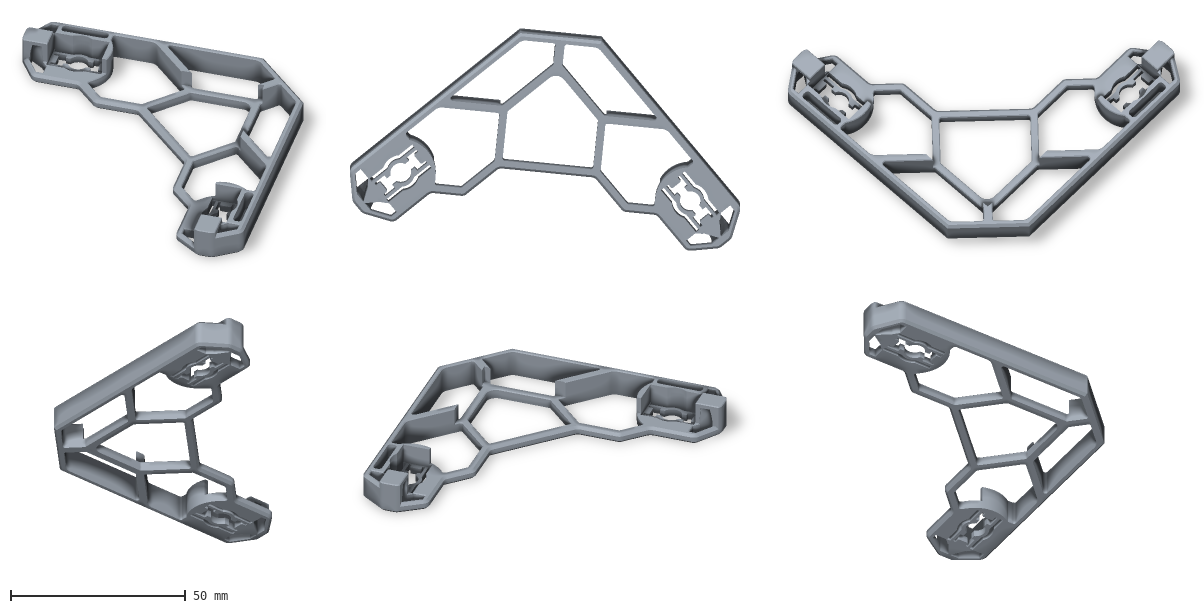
import cadquery as cq
import math

arm_length = 85.0
low_height = 3.0
wall_height = 8.0
block_height = 9.6
edge_chamfer = 0.8
window_chamfer = 0.25

pod_width = 20.1
pod_shoulder = 5.3
nose_half_flat = 2.2
pod_inner_end = 18.95
frame_depth = 26.9
frame_turn = 38.7
corner_cut = 16.6
pod_corner_radius = 2.4
frame_corner_radius = 2.0

wall = 1.9
nose_wall = 1.49
frame_rib = 2.5
lattice_rib = 2.2
corner_rib = 2.6
lattice_outer = 13.2
lattice_inner = lattice_outer + lattice_rib
stub_line = 47.1
spoke_line = 18.45
stub_window_start = 44.2
tall_depth = 12.75
window_radius = 0.7
wide_window_radius = 3.0

centre_across = pod_width / 2
hole_along = 16.1
pod_radius = pod_width / 2
pod_outer_end = 24.2
end_wall_along = 24.1
end_wall_reach = 3.6
block_length = 7.7
block_half_width = 3.15
block_chamfer = 0.25

ring_height = 2.0
trough_half_width = 4.4
trough_bulge = 5.3
ring_half_width = 3.3
ring_bulge = 4.0
slot_start = 8.0
slot_end = 23.9
hole_radius = 3.0
hole_neck_half_width = 1.32
hole_neck_half_length = 4.1
hole_end_half_width = 2.5
hole_half_length = 7.7
tab_width = 3.4
tab_start = 9.8
tab_end = 22.3
tab_radius = 0.4

pocket_start = 9.2
pocket_end = 23.0
pocket_near = 1.6
pocket_far = 4.25
pocket_radius = 1.0
pocket_floor = 2.0

nose_window_end = 7.9
gusset_length = 1.5
gusset_width = 1.6
recess_start = 2.5
recess_end = 6.55
recess_top = 8.25
recess_taper = 0.85
recess_shoulder = 0.3
recess_depth = 2.9

root2 = math.sqrt(2)


def prism(points, height, base=0.0):
    """Upright prism over a closed polygon."""
    return cq.Workplane("XY").workplane(offset=base).polyline(points).close().extrude(height)


def box(x0, x1, y0, y1, z0, z1):
    """Box given by its limits along each axis."""
    return prism([(x0, y0), (x1, y0), (x1, y1), (x0, y1)], z1 - z0, z0)


def cylinder(radius, x, y, z0, z1):
    """Upright cylinder."""
    return cq.Workplane("XY").workplane(offset=z0).center(x, y).circle(radius).extrude(z1 - z0)


def swap(points):
    """Reflect points across the line x = y, reversed to close a symmetric outline."""
    return [(y, x) for x, y in reversed(points)]


def mirrored(body):
    """Copy of a body on the other arm."""
    return body.mirror(cq.Vector(1, -1, 0), (0, 0, 0))


def pod_point(along, across):
    """Position on the -X arm's pod."""
    return (along - arm_length, across - centre_across)


def pod_box(along0, along1, across0, across1, z0, z1):
    """Box on the -X arm's pod."""
    x0, y0 = pod_point(along0, across0)
    x1, y1 = pod_point(along1, across1)
    return box(x0, x1, y0, y1, z0, z1)


def outline(height):
    """Solid outline of the whole part with rounded corners."""
    pod_corners = [
        pod_point(pod_shoulder, centre_across),
        pod_point(0, nose_half_flat),
        pod_point(0, -nose_half_flat),
        pod_point(pod_shoulder, -centre_across),
    ]
    drop = frame_depth - pod_width
    frame_corners = [
        pod_point(pod_inner_end, -centre_across),
        (pod_inner_end + drop - arm_length, -frame_depth),
        (frame_turn - arm_length, -frame_depth),
    ]
    half = [(-corner_cut, 0)] + pod_corners + frame_corners
    body = prism(half + swap(half), height)

    def round_corners(body, corners, radius):
        for point in corners + swap(corners):
            spot = cq.selectors.NearestToPointSelector((*point, height / 2))
            body = body.edges("|Z").edges(spot).fillet(radius)
        return body

    body = round_corners(body, pod_corners, pod_corner_radius)
    return round_corners(body, frame_corners, frame_corner_radius)


def meet(total, difference):
    """Point where x + y = total crosses x - y = difference."""
    return ((total + difference) / 2, (total - difference) / 2)


def window(points, corner):
    """Through cutter for a window; the given corner gets the larger radius."""
    body = prism(points, block_height)
    for point in points:
        radius = wide_window_radius if point == corner else window_radius
        spot = cq.selectors.NearestToPointSelector((*point, block_height / 2))
        body = body.edges("|Z").edges(spot).fillet(radius)
    return body


stub_far = -(stub_line + lattice_rib * root2)
spoke_far = -(spoke_line + lattice_rib * root2)
corner_inner = -(corner_cut + wall * root2)
pod_frame_inner = pod_inner_end - arm_length - pod_width + frame_rib * root2
diagonal_inner = frame_turn - arm_length - frame_depth + frame_rib * root2
frame_inner = -(frame_depth - frame_rib)


def arm_window():
    """Window between the pod, the outer wall, the stub rib and the lattice."""
    pod_x, pod_y = pod_point(hole_along, 0)
    pod_tangent = pod_x - pod_y + pod_radius * root2
    pod_side = pod_outer_end - arm_length
    lean = pod_radius / root2
    stub_root = (stub_far + wall, -wall)
    body = window([
        (pod_side, -wall),
        stub_root,
        meet(stub_far, spoke_far),
        (spoke_far + frame_inner, frame_inner),
        (pod_frame_inner - frame_inner, frame_inner),
        meet(pod_frame_inner, pod_tangent),
        (pod_x + lean, pod_y - lean),
        (pod_side, pod_y),
    ], stub_root)
    return body.cut(cylinder(pod_radius, pod_x, pod_y, 0, block_height))


def corner_window():
    """Window between the outer wall, the corner wall, the corner rib and the stub rib."""
    rib_side = -corner_rib / root2
    wall_turn = (corner_inner + wall, -wall)
    return window([
        (-stub_window_start, -wall),
        (-stub_window_start, stub_window_start - stub_line),
        (lattice_outer - stub_line, -lattice_outer),
        (rib_side - lattice_outer, -lattice_outer),
        meet(corner_inner, rib_side),
        wall_turn,
    ], wall_turn)


def middle_window():
    """Window in the middle of the lattice, symmetric about x = y."""
    corner = (-lattice_inner, -lattice_inner)
    half = [
        (-lattice_inner - spoke_line, -lattice_inner),
        meet(diagonal_inner, -spoke_line),
    ]
    return window(half + swap(half) + [corner], corner)


def nose_window(side):
    """Window beside the end block, on the outer (+1) or inner (-1) side."""
    flank_rise = pod_shoulder / (centre_across - nose_half_flat)
    flank_offset = nose_wall * math.hypot(1, flank_rise)
    far = centre_across - wall

    def flank(across):
        return (across - nose_half_flat) * flank_rise + flank_offset

    corners = [
        (nose_window_end, block_half_width + gusset_width),
        (nose_window_end, far),
        (flank(far), far),
        (flank(block_half_width), block_half_width),
        (nose_window_end - gusset_length, block_half_width),
    ]
    return prism([pod_point(along, side * across) for along, across in corners], block_height)


def plate(height):
    """Outline with all windows, chamfered around its outer rims and the window tops."""
    body = outline(height).cut(middle_window())
    for cutter in (arm_window(), corner_window(), nose_window(1), nose_window(-1)):
        body = body.cut(cutter).cut(mirrored(cutter))
    inner_wires = body.faces(">Z").val().innerWires()
    rim_edges = [edge for wire in inner_wires for edge in wire.Edges()]
    body = body.newObject(rim_edges).chamfer(window_chamfer)
    flat_faces = body.faces(">Z or <Z").vals()
    outer_edges = [edge for face in flat_faces for edge in face.outerWire().Edges()]
    return body.newObject(outer_edges).chamfer(edge_chamfer)


def tall_zone():
    """Half of the area in which the plate rises to the full wall height."""
    end_wall_depth = centre_across + end_wall_reach
    block_depth = centre_across - block_half_width
    trough_depth = centre_across - trough_half_width
    end_wall_x = end_wall_along - arm_length
    window_middle_x = stub_far + tall_depth - pod_radius
    return prism([
        (0, 0),
        (-arm_length, 0),
        (-arm_length, -block_depth),
        (block_length - arm_length, -block_depth),
        (block_length - arm_length, -trough_depth),
        (end_wall_x, -trough_depth),
        (end_wall_x, -end_wall_depth),
        (window_middle_x, -end_wall_depth),
        (window_middle_x, -tall_depth),
        (-tall_depth, -tall_depth),
    ], wall_height)


def end_block():
    """Block at the nose, following the outline."""
    body = outline(block_height).faces("<Z").chamfer(edge_chamfer)
    body = body.intersect(
        pod_box(0, block_length, -block_half_width, block_half_width, 0, block_height)
    )
    return body.faces(">Z").chamfer(block_chamfer)


def block_recess():
    """Arched recess in one side of the end block, its back slanting away from the pod."""
    x0, y0 = pod_point(recess_start, -block_half_width)
    x1 = recess_end - arm_length
    arch = (
        cq.Workplane("XZ", origin=(0, y0, 0))
        .moveTo(x0, 0)
        .lineTo(x0, low_height)
        .threePointArc(
            (x0 + recess_taper / 4, (low_height + recess_top) / 2),
            (x0 + recess_taper, recess_top),
        )
        .lineTo(x1 - recess_taper / 2, recess_top)
        .lineTo(x1, low_height)
        .lineTo(x1, 0)
        .close()
        .extrude(-recess_depth)
    )
    back = [
        (x0, y0),
        (x1, y0),
        (x1 - recess_shoulder, y0 + recess_shoulder),
        (x0, y0 + recess_depth),
    ]
    return arch.intersect(prism(back, block_height))


def bulged_strip(along0, along1, half_width, bulge, z0, z1):
    """Strip along the pod with a round bulge about its hole."""
    x, y = pod_point(hole_along, 0)
    strip = pod_box(along0, along1, -half_width, half_width, z0, z1)
    return strip.union(cylinder(bulge, x, y, z0, z1))


def ring_cutter():
    """Trough over the spring ring, the slots beside it and the keyed hole through it."""
    trough = bulged_strip(
        block_length, end_wall_along, trough_half_width, trough_bulge, ring_height, block_height
    )
    slots = bulged_strip(slot_start, slot_end, trough_half_width, trough_bulge, 0, block_height)
    ring = bulged_strip(block_length, end_wall_along, ring_half_width, ring_bulge, 0, block_height)
    hole_start = hole_along - hole_half_length
    hole_end = hole_along + hole_half_length
    neck_start = hole_along - hole_neck_half_length
    neck_end = hole_along + hole_neck_half_length
    hole = bulged_strip(neck_start, neck_end, hole_neck_half_width, hole_radius, 0, block_height)
    half_tab = tab_width / 2
    for along0, along1, tab0, tab1 in (
        (hole_start, neck_start, block_length, tab_start),
        (neck_end, hole_end, tab_end, end_wall_along),
    ):
        pad = pod_box(along0, along1, -hole_end_half_width, hole_end_half_width, 0, block_height)
        tab = pod_box(tab0, tab1, -half_tab, half_tab, 0, block_height)
        hole = hole.union(pad.cut(tab.edges("|Z").fillet(tab_radius)))
    return trough.union(slots.cut(ring)).union(hole)


def pocket():
    """Blind pocket between the trough and the outer wall."""
    x0, x1 = pocket_start - arm_length, pocket_end - arm_length
    body = box(x0, x1, -pocket_far, -pocket_near, pocket_floor, block_height)
    return body.edges("|Z").fillet(pocket_radius)


zone = tall_zone()
walls = plate(wall_height).intersect(zone.union(mirrored(zone)))
result = plate(low_height).union(walls)
block = end_block()
result = result.union(block).union(mirrored(block))
recess = block_recess()
far_recess = recess.mirror("XZ", (0, -centre_across, 0))
for cutter in (recess, far_recess, ring_cutter(), pocket()):
    result = result.cut(cutter).cut(mirrored(cutter))